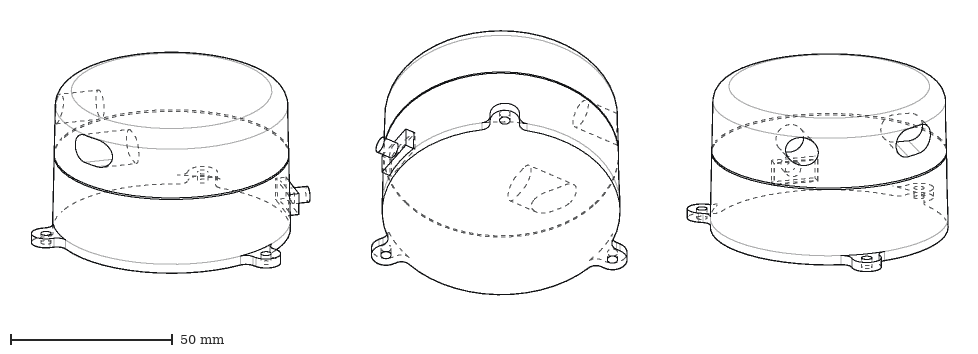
import cadquery as cq
import math

total_length = 88.9
total_height = 46.0
flange_height = 3.0
base_top = 24.45
joint_gap = 0.5
cover_bottom = base_top + joint_gap

flange_radius = 36.8
draft_angle = 1.2
top_round_radius = 5.0

lug_count = 3
first_lug_angle = -90
lug_hole_diameter = 3.2
lug_end_radius = 4.5
lug_reach = 45.0
lug_hole_distance = lug_reach - lug_end_radius
lug_fillet_radius = 3.0

opening_height = 9.0
opening_offset = 18.05
opening_center_height = 36.5
slot_length = 13.5
opening_floor_y = -17.8

block_width = 14.05
block_height = 7.0
block_back_y = 38.95
block_seat_y = 35.6
stub_diameter = 5.0
stub_end_y = total_length - lug_reach
stub_center_height = flange_height + block_height / 2


def wall_radius(height):
    """Radius of the drafted wall at a given height above the underside."""
    return flange_radius - (height - flange_height) * math.tan(math.radians(draft_angle))


def drafted_body(bottom, top):
    """Solid frustum that follows the drafted wall between two heights."""
    profile = [(0, bottom), (wall_radius(bottom), bottom), (wall_radius(top), top), (0, top)]
    return cq.Workplane("XZ").polyline(profile).close().revolve(360, (0, 0), (0, 1))


def lug(angle):
    """Round-ended lug that blends into the flange with a concave fillet on each side."""
    blend_x = lug_end_radius + lug_fillet_radius
    blend_distance = flange_radius + lug_fillet_radius
    blend_y = math.sqrt(blend_distance**2 - blend_x**2)
    rim_x = blend_x * flange_radius / blend_distance
    rim_y = blend_y * flange_radius / blend_distance
    middle_angle = (math.pi + math.atan2(-blend_y, -blend_x) % (2 * math.pi)) / 2
    middle_x = blend_x + lug_fillet_radius * math.cos(middle_angle)
    middle_y = blend_y + lug_fillet_radius * math.sin(middle_angle)
    outline = (
        cq.Workplane("XY")
        .moveTo(rim_x, rim_y)
        .threePointArc((middle_x, middle_y), (lug_end_radius, blend_y))
        .lineTo(lug_end_radius, lug_hole_distance)
        .threePointArc((0, lug_reach), (-lug_end_radius, lug_hole_distance))
        .lineTo(-lug_end_radius, blend_y)
        .threePointArc((-middle_x, middle_y), (-rim_x, rim_y))
        .lineTo(0, 0)
        .close()
    )
    return outline.extrude(flange_height).rotate((0, 0, 0), (0, 0, 1), angle - 90)


def make_base():
    base = cq.Workplane("XY").circle(flange_radius).extrude(flange_height)
    base = base.union(drafted_body(flange_height, base_top))
    for index in range(lug_count):
        base = base.union(lug(first_lug_angle + index * 360 / lug_count))
    lug_holes = (
        cq.Workplane("XY")
        .polarArray(lug_hole_distance, first_lug_angle, 360, lug_count)
        .circle(lug_hole_diameter / 2)
        .extrude(flange_height)
    )
    return base.cut(lug_holes).cut(connector_block())


def make_cover():
    cover = drafted_body(cover_bottom, total_height).faces(">Z").edges().fillet(top_round_radius)
    floor_plane = cq.Workplane("XZ", origin=(0, opening_floor_y, opening_center_height))
    cut_depth = flange_radius + opening_floor_y
    round_opening = floor_plane.center(-opening_offset, 0).circle(opening_height / 2).extrude(cut_depth)
    slot_opening = floor_plane.center(opening_offset, 0).slot2D(slot_length, opening_height).extrude(cut_depth)
    return cover.cut(round_opening).cut(slot_opening)


def connector_block():
    """Block of the connector; the base has a pocket of the same shape."""
    return cq.Workplane("XY").box(
        block_width, block_back_y - block_seat_y, block_height, centered=(True, False, False)
    ).translate((0, block_seat_y, flange_height))


def make_connector():
    stub = (
        cq.Workplane("XZ", origin=(0, block_back_y, stub_center_height))
        .circle(stub_diameter / 2)
        .extrude(block_back_y - stub_end_y)
    )
    return connector_block().union(stub)


base = make_base()
cover = make_cover()
connector = make_connector()

result = cq.Compound.makeCompound([base.val(), cover.val(), connector.val()])